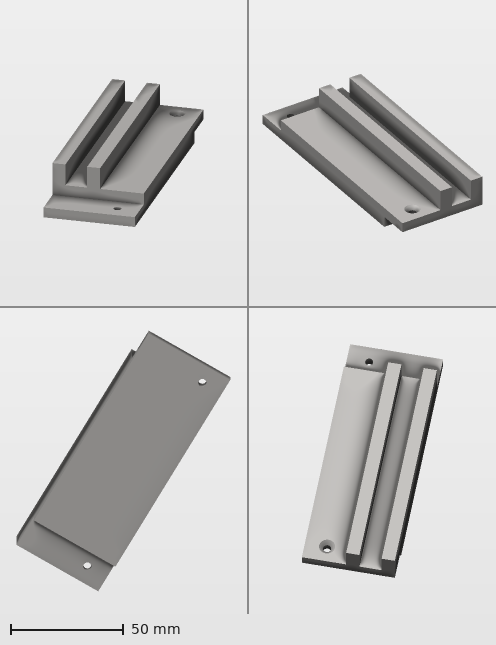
import cadquery as cq

width = 42.0
length = 115.0
height = 20.0

floor_top = 10.0
rail_width = 6.0
rail_gap = 10.0

lap_length = 15.0
lap_thickness = 4.7
overlap_underside = floor_top - lap_thickness

hole_diameter = 3.6
countersink_diameter = 7.1
countersink_angle = 90
hole_x = 32.0
tongue_hole_y = lap_length / 2
overlap_hole_y = length - lap_length / 2


def block(x_size, y_start, y_end, z_bottom, z_top, x_start=0.0):
    """Box given by its X start and size and its Y and Z limits."""
    box = cq.Workplane("XY").box(x_size, y_end - y_start, z_top - z_bottom, centered=False)
    return box.translate((x_start, y_start, z_bottom))


tongue = block(width, 0, lap_length, 0, lap_thickness)
middle = block(width, lap_length, length - lap_length, 0, floor_top)
overlap = block(width, length - lap_length, length, overlap_underside, floor_top)
body = tongue.union(middle).union(overlap)

for rail_x in (0.0, rail_width + rail_gap):
    body = body.union(block(rail_width, lap_length, length, floor_top, height, rail_x))

tongue_plane = cq.Workplane("XY", origin=(hole_x, tongue_hole_y, 0))
body = body.cut(tongue_plane.circle(hole_diameter / 2).extrude(lap_thickness))

result = (
    body.copyWorkplane(cq.Workplane("XY", origin=(hole_x, overlap_hole_y, floor_top)))
    .cskHole(hole_diameter, countersink_diameter, countersink_angle)
)